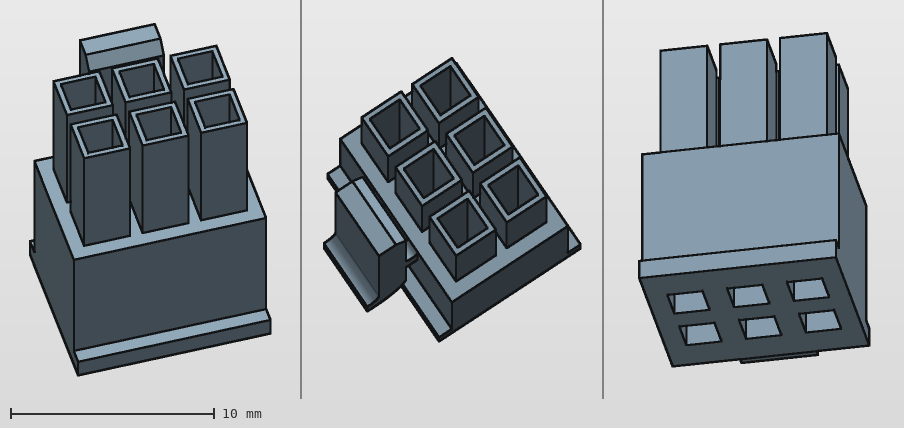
import cadquery as cq
import math

overall_height = 14.0
housing_depth = 9.85
body_width = 6.86
body_top = 7.63
flange_overhang = 0.75
flange_height = 1.0

tube_columns = 2
tube_rows = 3
tube_pitch = 3.0
tube_side = 2.35
cavity_side = 1.76

lever_gap = 0.69
lever_thickness = 1.61
lever_width = 3.84
lever_top = 13.08
lever_bottom = 1.19
lever_chamfer = 0.6
hook_reach = 0.69
hook_thickness = 1.13

web_gap = 2.11
web_bottom = 5.84
web_groove_bottom = 7.14

flange_width = body_width + 2 * flange_overhang
body_face = -body_width / 2
lever_inner = body_face - lever_gap
lever_outer = lever_inner - lever_thickness
hook_tip = lever_outer - hook_reach


def block(width, depth, bottom, top):
    """Upright box centred on the Z axis."""
    return cq.Workplane("XY").workplane(offset=bottom).rect(width, depth).extrude(top - bottom)


def square_grid(side, bottom, top):
    """Square prisms, one at each terminal position."""
    return (
        cq.Workplane("XY")
        .workplane(offset=bottom)
        .rarray(tube_pitch, tube_pitch, tube_columns, tube_rows)
        .rect(side, side)
        .extrude(top - bottom)
    )


def make_lever():
    """Upright bar with a chamfered top and a foot that curls outward."""
    foot_top = lever_bottom + hook_thickness
    inner_radius = hook_reach
    bend_start = foot_top + inner_radius
    outer_radius = bend_start - lever_bottom
    diagonal = math.sqrt(0.5)
    inner_bend_middle = (
        hook_tip + inner_radius * diagonal,
        bend_start - inner_radius * diagonal,
    )
    outer_bend_middle = (
        lever_inner - outer_radius * (1 - diagonal),
        bend_start - outer_radius * diagonal,
    )
    return (
        cq.Workplane("XZ")
        .moveTo(lever_outer, lever_top)
        .lineTo(lever_inner - lever_chamfer, lever_top)
        .lineTo(lever_inner, lever_top - lever_chamfer)
        .lineTo(lever_inner, bend_start)
        .threePointArc(outer_bend_middle, (lever_inner - outer_radius, lever_bottom))
        .lineTo(hook_tip, lever_bottom)
        .lineTo(hook_tip, foot_top)
        .threePointArc(inner_bend_middle, (lever_outer, bend_start))
        .close()
        .extrude(lever_width / 2, both=True)
    )


def make_webs():
    """Pair of webs with a half-round groove along the top, separated by a gap."""
    groove_radius = lever_gap / 2
    groove_edge = web_groove_bottom + groove_radius
    groove_middle = (body_face - groove_radius, web_groove_bottom)
    web_bar = (
        cq.Workplane("XZ")
        .moveTo(lever_inner, web_bottom)
        .lineTo(body_face, web_bottom)
        .lineTo(body_face, groove_edge)
        .threePointArc(groove_middle, (lever_inner, groove_edge))
        .close()
        .extrude(lever_width / 2, both=True)
    )
    gap = block(2 * flange_width, web_gap, 0, overall_height)
    return web_bar.cut(gap)


flange = block(flange_width, housing_depth, 0, flange_height)
body = block(body_width, housing_depth, 0, body_top)
tubes = square_grid(tube_side, body_top, overall_height)
cavities = square_grid(cavity_side, 0, overall_height)

housing = flange.union(body).union(tubes).cut(cavities)
result = housing.union(make_webs()).union(make_lever())